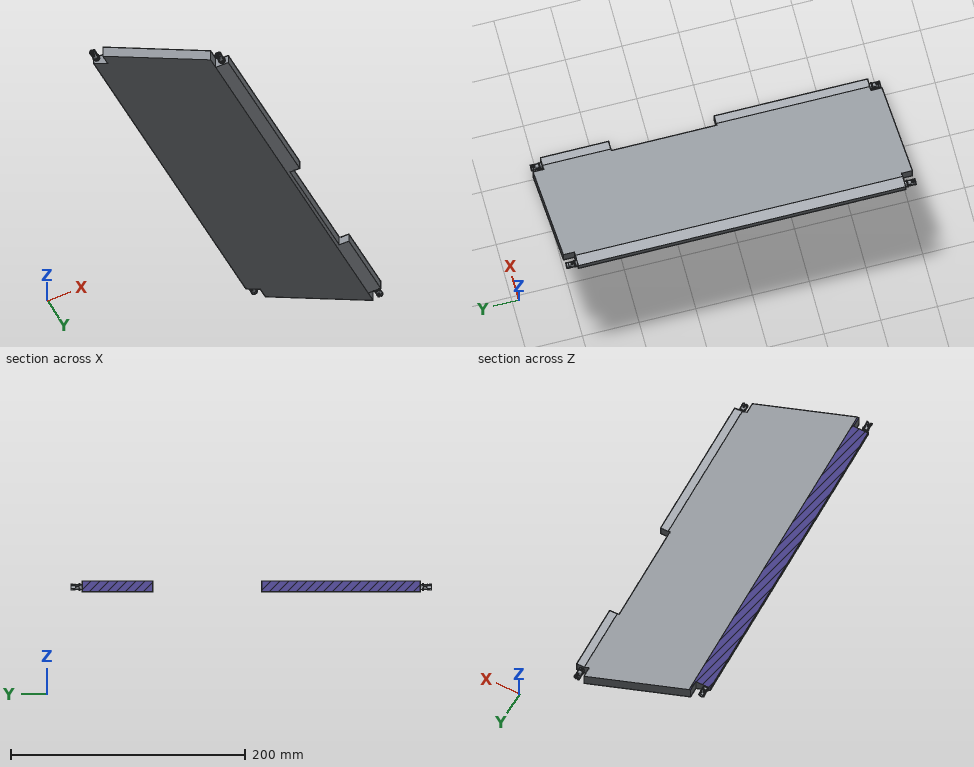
import cadquery as cq

WIDTH = 129.0
LENGTH = 307.7
HEIGHT = 71.0
UPPER_LIP_WIDTH = 10.0
UPPER_LIP_FACE = 6.5
LOWER_LIP_WIDTH = 7.5
LOWER_LIP_FACE = 9.2
LOWER_LIP_BASE = 12.0

NOTCH_LENGTH = 9.5
UPPER_NOTCH_WIDTH = 14.0
LOWER_NOTCH_WIDTH = LOWER_LIP_BASE

CUTOUT_DEPTH = 9.2
CUTOUT_LENGTH = 93.0
CUTOUT_CENTRE_Y = 37.5

PIN_LENGTH = NOTCH_LENGTH
SHAFT_DIAMETER = 5.0
COLLAR_DIAMETER = 6.0
TIP_RIM_DIAMETER = 5.2
BORE_DIAMETER = 3.0
COLLAR_STANDOFF = 2.0
COLLAR_LENGTH = 1.0
TIP_RIM_LENGTH = 2.0
SLOT_WIDTH = 1.2
TIP_SLOT_LENGTH = 3.7
COLLAR_SLOT_LENGTH = 2.8
SLOT_END_RADIUS = 0.49 * SLOT_WIDTH
PIN_BASE_Y = LENGTH / 2 - NOTCH_LENGTH

UPPER_PIN_X = 3.7
UPPER_PIN_Z = HEIGHT - 3.0
LOWER_PIN_X = WIDTH - 5.2
LOWER_PIN_Z = 4.0

PIN_PLACES = [
    (UPPER_PIN_X, UPPER_PIN_Z, -1, 0),
    (UPPER_PIN_X, UPPER_PIN_Z, 1, 90),
    (LOWER_PIN_X, LOWER_PIN_Z, -1, 0),
    (LOWER_PIN_X, LOWER_PIN_Z, 1, 0),
]


def make_notch(x, width, end):
    """Block removed from a corner; end is +1 or -1 along Y."""
    centre_y = end * (LENGTH - NOTCH_LENGTH) / 2
    return (
        cq.Workplane("XY")
        .box(width, NOTCH_LENGTH, HEIGHT, centered=(False, True, False))
        .translate((x, centre_y, 0))
    )


def make_panel():
    profile = [
        (0, HEIGHT),
        (UPPER_LIP_WIDTH, HEIGHT),
        (WIDTH - LOWER_LIP_WIDTH, LOWER_LIP_FACE),
        (WIDTH, LOWER_LIP_FACE),
        (WIDTH, 0),
        (WIDTH - LOWER_LIP_BASE, 0),
        (0, HEIGHT - UPPER_LIP_FACE),
    ]
    panel = cq.Workplane("XZ").polyline(profile).close().extrude(LENGTH / 2, both=True)

    for end in (-1, 1):
        panel = panel.cut(make_notch(0, UPPER_NOTCH_WIDTH, end))
        panel = panel.cut(make_notch(WIDTH - LOWER_NOTCH_WIDTH, LOWER_NOTCH_WIDTH, end))

    cutout = (
        cq.Workplane("XY")
        .box(CUTOUT_DEPTH, CUTOUT_LENGTH, HEIGHT, centered=(False, True, False))
        .translate((WIDTH - CUTOUT_DEPTH, CUTOUT_CENTRE_Y, 0))
    )
    return panel.cut(cutout)


def make_cylinder(diameter, start, length):
    """Cylinder about the Z axis, rising from height start."""
    return cq.Workplane("XY", origin=(0, 0, start)).circle(diameter / 2).extrude(length)


def make_tip_slot():
    """Slot across the pin, open at the tip and rounded at its inner end."""
    return (
        cq.Workplane("XY")
        .box(SLOT_WIDTH, COLLAR_DIAMETER, TIP_SLOT_LENGTH, centered=(True, True, False))
        .translate((0, 0, PIN_LENGTH - TIP_SLOT_LENGTH))
        .edges("|Y and <Z").fillet(SLOT_END_RADIUS)
    )


def make_collar_slot():
    """Slot from the collar toward the tip, at right angles to the tip slot."""
    return (
        cq.Workplane("XY")
        .box(COLLAR_DIAMETER, SLOT_WIDTH, COLLAR_SLOT_LENGTH, centered=(True, True, False))
        .translate((0, 0, COLLAR_STANDOFF + COLLAR_LENGTH))
        .edges("|X and >Z").fillet(SLOT_END_RADIUS)
    )


def make_pin():
    """Hollow split pin standing on the XY plane with its tip toward +Z."""
    shaft = make_cylinder(SHAFT_DIAMETER, 0, PIN_LENGTH)
    collar = make_cylinder(COLLAR_DIAMETER, COLLAR_STANDOFF, COLLAR_LENGTH)
    tip_rim = make_cylinder(TIP_RIM_DIAMETER, PIN_LENGTH - TIP_RIM_LENGTH, TIP_RIM_LENGTH)
    bore = make_cylinder(BORE_DIAMETER, 0, PIN_LENGTH)
    pin = shaft.union(collar).union(tip_rim)
    return pin.cut(bore).cut(make_tip_slot()).cut(make_collar_slot())


def place_pin(x, z, end, turn):
    """Turn a pin about its own axis, then seat it on a notch with its tip outward."""
    return (
        make_pin()
        .rotate((0, 0, 0), (0, 0, 1), turn)
        .rotate((0, 0, 0), (1, 0, 0), -90 * end)
        .translate((x, end * PIN_BASE_Y, z))
    )


panel = make_panel()
pins = [place_pin(*pin_place) for pin_place in PIN_PLACES]

result = cq.Compound.makeCompound([panel.val(), *[pin.val() for pin in pins]])